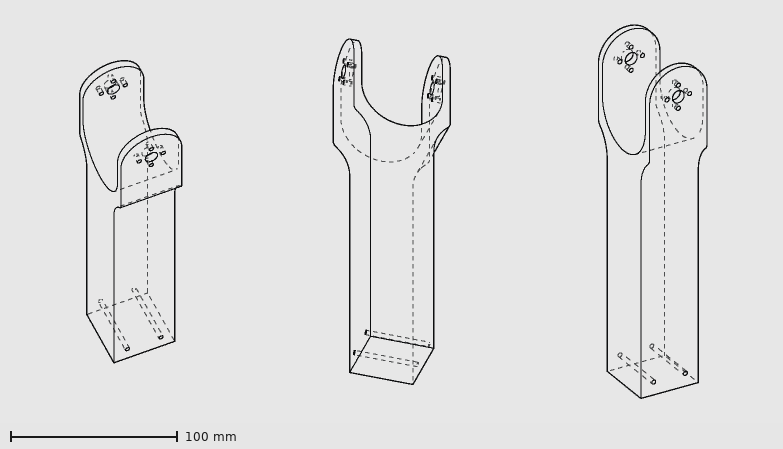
import cadquery as cq
import math

height = 225.0
fork_width = 61.0
depth = 40.0

arm_thickness = 5.0
slot_radius = fork_width / 2 - arm_thickness
slot_center_z = 185.0

shoulder_start_z = 144.6
concave_radius = 25.0
convex_radius = 5.0

pivot_z = height - depth / 2
pivot_diameter = 8.0
screw_diameter = 2.7
screw_circle_radius = 7.9
screw_count = 4

foot_hole_diameter = 2.7
foot_hole_spacing = 22.0
foot_hole_z = 8.8


def polar(center_x, center_z, radius, angle):
    """Point on a circle in the XZ plane, angle in radians from +X."""
    return (center_x + radius * math.cos(angle), center_z + radius * math.sin(angle))


def make_body():
    """Shank and forked head, extruded along Y."""
    shank_x = depth / 2
    fork_x = fork_width / 2
    radius_sum = concave_radius + convex_radius
    sweep = math.acos(1 - (fork_x - shank_x) / radius_sum)
    shoulder_end_z = shoulder_start_z + radius_sum * math.sin(sweep)

    concave_x = shank_x + concave_radius
    convex_x = fork_x - convex_radius
    concave_mid = polar(concave_x, shoulder_start_z, concave_radius, math.pi - sweep / 2)
    blend = polar(concave_x, shoulder_start_z, concave_radius, math.pi - sweep)
    convex_mid = polar(convex_x, shoulder_end_z, convex_radius, -sweep / 2)

    half = (
        cq.Workplane("XZ")
        .lineTo(shank_x, 0)
        .lineTo(shank_x, shoulder_start_z)
        .threePointArc(concave_mid, blend)
        .threePointArc(convex_mid, (fork_x, shoulder_end_z))
        .lineTo(fork_x, height)
        .lineTo(slot_radius, height)
        .lineTo(slot_radius, slot_center_z)
        .threePointArc(
            polar(0, slot_center_z, slot_radius, -math.pi / 4),
            (0, slot_center_z - slot_radius),
        )
        .close()
        .extrude(depth / 2, both=True)
    )
    return half.union(half.mirror("YZ"))


def make_side_outline():
    """Side silhouette with fully rounded arm ends, extruded along X."""
    half_depth = depth / 2
    return (
        cq.Workplane("YZ")
        .moveTo(-half_depth, 0)
        .lineTo(half_depth, 0)
        .lineTo(half_depth, pivot_z)
        .threePointArc((0, height), (-half_depth, pivot_z))
        .close()
        .extrude(fork_width / 2, both=True)
    )


def make_cross_holes(points, diameter):
    """Cylinders along X, spanning the full width, at the given (Y, Z) points."""
    return (
        cq.Workplane("YZ")
        .pushPoints(points)
        .circle(diameter / 2)
        .extrude(fork_width / 2, both=True)
    )


screw_points = [
    polar(0, pivot_z, screw_circle_radius, 2 * math.pi * i / screw_count)
    for i in range(screw_count)
]
foot_points = [(side * foot_hole_spacing / 2, foot_hole_z) for side in (-1, 1)]

result = (
    make_body()
    .intersect(make_side_outline())
    .cut(make_cross_holes([(0, pivot_z)], pivot_diameter))
    .cut(make_cross_holes(screw_points, screw_diameter))
    .cut(make_cross_holes(foot_points, foot_hole_diameter))
)